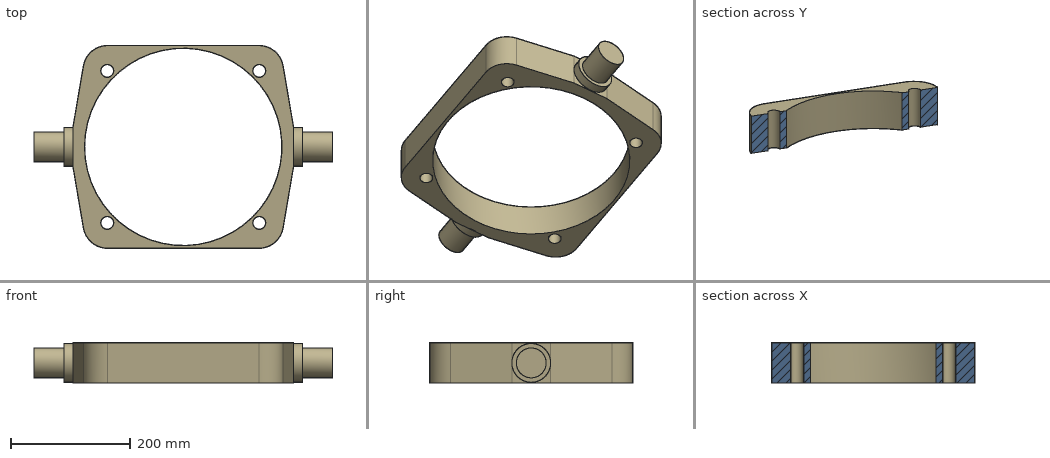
import cadquery as cq
import math

plate_length = 340.0
plate_width = 370.0
plate_thickness = 68.0
bore_diameter = 330.0
taper_angle = 9.7
corner_radius = 41.5

bolt_circle_diameter = 360.0
bolt_hole_diameter = 21.0

collar_diameter = 65.0
collar_span = 400.0
pin_diameter = 50.0
pin_span = 500.0

bolt_spacing = bolt_circle_diameter / math.sqrt(2)
half_width = plate_width / 2
half_length = plate_length / 2
half_flat = collar_diameter / 2
taper_run = half_length - half_flat
corner_x = half_width - taper_run * math.tan(math.radians(taper_angle))


def make_plate():
    outline = [
        (half_width, -half_flat),
        (half_width, half_flat),
        (corner_x, half_length),
        (-corner_x, half_length),
        (-half_width, half_flat),
        (-half_width, -half_flat),
        (-corner_x, -half_length),
        (corner_x, -half_length),
    ]
    plate = (
        cq.Workplane("XY")
        .workplane(offset=-plate_thickness / 2)
        .polyline(outline)
        .close()
        .extrude(plate_thickness)
    )
    return plate.edges("|Z and (>Y or <Y)").fillet(corner_radius)


def cut_bore_and_bolt_holes(plate):
    return (
        plate.faces(">Z")
        .workplane(origin=(0, 0, 0))
        .hole(bore_diameter)
        .faces(">Z")
        .workplane(origin=(0, 0, 0))
        .rect(bolt_spacing, bolt_spacing, forConstruction=True)
        .vertices()
        .hole(bolt_hole_diameter)
    )


def make_trunnion(side):
    """Collar and pin standing on the +X (side=1) or -X (side=-1) flat."""
    collar_length = (collar_span - plate_width) / 2
    pin_length = (pin_span - plate_width) / 2
    base = cq.Workplane("YZ").workplane(offset=side * half_width)
    collar = base.circle(collar_diameter / 2).extrude(side * collar_length)
    pin = base.circle(pin_diameter / 2).extrude(side * pin_length)
    return collar.union(pin)


result = cut_bore_and_bolt_holes(make_plate())
for side in (1, -1):
    result = result.union(make_trunnion(side))